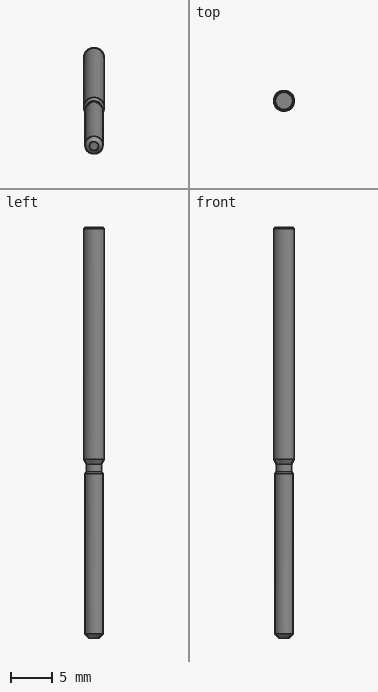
import cadquery as cq

total_length = 50.0

upper_radius = 1.25
top_chamfer = 0.2
upper_length = 28.8
upper_taper_height = 0.6

neck_radius = 0.95
neck_length = 0.95
lower_radius = 1.1
shoulder_height = 0.25
tip_radius = 0.55
tip_height = 0.55

joint_z = total_length - upper_length
neck_bottom_z = joint_z - neck_length


def turned_body(outer_profile):
    """Revolve (radius, z) points, listed from bottom to top, about the Z axis."""
    bottom_z = outer_profile[0][1]
    top_z = outer_profile[-1][1]
    outline = [(0, bottom_z), *outer_profile, (0, top_z)]
    return cq.Workplane("XZ").polyline(outline).close().revolve(360, (0, 0), (0, 1))


def make_upper_rod():
    """Thick rod that tapers down to the neck radius at the joint."""
    return turned_body([
        (neck_radius, joint_z),
        (upper_radius, joint_z + upper_taper_height),
        (upper_radius, total_length - top_chamfer),
        (upper_radius - top_chamfer, total_length),
    ])


def make_lower_rod():
    """Thin rod with a blunt conical tip below and a neck above its shoulder."""
    return turned_body([
        (tip_radius, 0),
        (lower_radius, tip_height),
        (lower_radius, neck_bottom_z - shoulder_height),
        (neck_radius, neck_bottom_z),
        (neck_radius, joint_z),
    ])


upper_rod = make_upper_rod()
lower_rod = make_lower_rod()

result = cq.Compound.makeCompound([upper_rod.val(), lower_rod.val()])